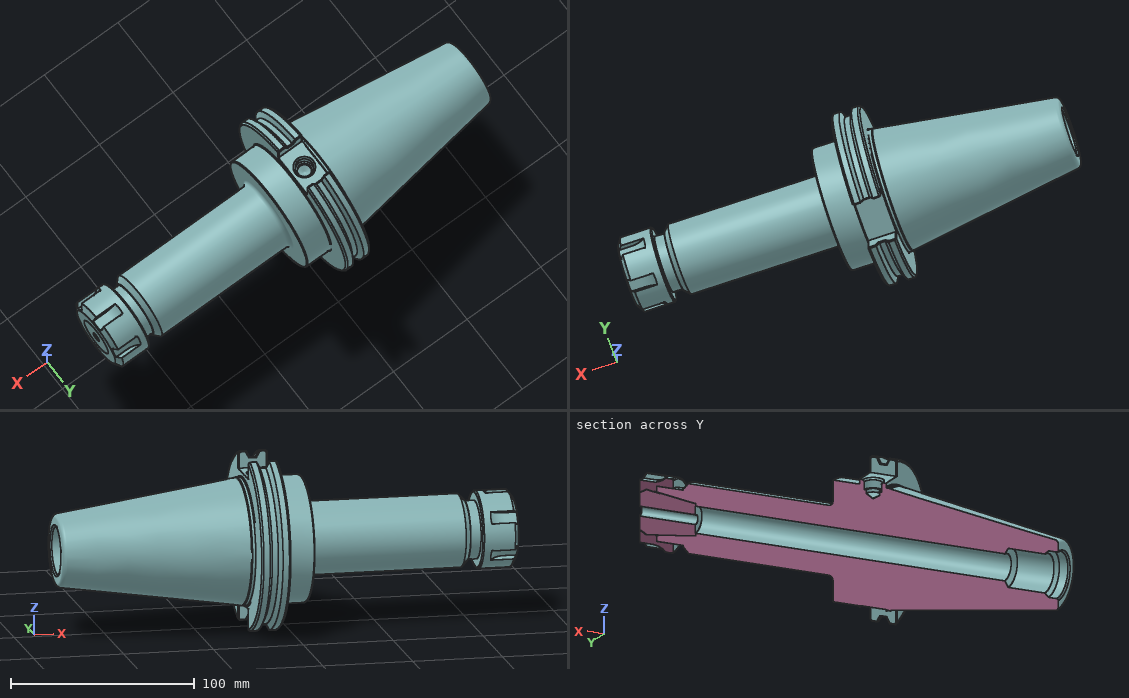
import cadquery as cq
import math


total_length = 254.0
taper_length = 101.5
flange_start = 104.5
flange_end = 120.6
collar_end = 137.0
shank_end = 227.5
nut_start = 233.5
nose_end = 243.8

gauge_radius = 69.8 / 2
taper_slope = 7 / 24 / 2
small_end_radius = gauge_radius - taper_length * taper_slope
small_end_round = 2.5
flange_radius = 98.3 / 2
flange_chamfer = 1.0
groove_radius = 45.7
groove_top_width = 7.0
groove_floor_width = 3.3
neck_radius = 70.4 / 2
neck_lead = 0.5
flange_root_fillet = 0.5
collar_radius = 35.0
collar_chamfer = 0.5
shank_radius = 40.5 / 2
shank_root_fillet = 2.5
shank_end_chamfer = 3.3
thread_radius = 16.0

drive_slot_width = 25.5
drive_slot_chamfer = 0.64
upper_slot_floor = 37.8
lower_slot_floor = 34.8
tapped_radius = 5.0
tapped_mouth_radius = 6.0
tapped_depth = 5.5
tap_drill_radius = 8.0 / 2
tap_drill_depth = 7.5
drill_tip_slope = math.tan(math.radians(31))

pilot_radius = 13.2
pilot_mouth_radius = 28.2 / 2
pilot_depth = 6.0
pull_stud_radius = 22.0 / 2
pull_stud_depth = 30.5
coolant_radius = 7.5

collet_back = 220.0
collet_back_radius = 18.0 / 2
collet_max_radius = 13.2
collet_front_radius = 11.0
collet_bore_radius = 5.3 / 2
collet_slope = math.tan(math.radians(8))
collet_shoulder = collet_back + (collet_max_radius - collet_back_radius) / collet_slope

nut_radius = 21.3
nut_back_chamfer = 0.8
nut_front_radius = 17.5
nut_front_chamfer_length = 2.5
spanner_slot_count = 6
spanner_slot_width = 6.9
spanner_slot_floor = 18.0
spanner_slot_flat_start = 246.0
spanner_slot_clearance = 0.5
cutter_radius = 11.0


def revolve_about_x(points):
    """Solid of revolution from a closed (x, radius) outline."""
    return cq.Workplane("XY").polyline(points).close().revolve(360, (0, 0, 0), (1, 0, 0))


def collet_cone_radius(x):
    """Radius of the collet's long cone, and of its seat, at position x."""
    return collet_back_radius + (x - collet_back) * collet_slope


def holder_blank():
    groove_middle = (flange_start + flange_end) / 2
    groove_top = groove_top_width / 2
    groove_floor = groove_floor_width / 2
    outline = (
        cq.Workplane("XY")
        .moveTo(0, 0)
        .lineTo(0, small_end_radius)
        .lineTo(taper_length, gauge_radius)
        .lineTo(taper_length + neck_lead, neck_radius)
        .lineTo(flange_start - flange_root_fillet, neck_radius)
        .radiusArc((flange_start, neck_radius + flange_root_fillet), -flange_root_fillet)
        .lineTo(flange_start, flange_radius - flange_chamfer)
        .lineTo(flange_start + flange_chamfer, flange_radius)
        .lineTo(groove_middle - groove_top, flange_radius)
        .lineTo(groove_middle - groove_floor, groove_radius)
        .lineTo(groove_middle + groove_floor, groove_radius)
        .lineTo(groove_middle + groove_top, flange_radius)
        .lineTo(flange_end - flange_chamfer, flange_radius)
        .lineTo(flange_end, flange_radius - flange_chamfer)
        .lineTo(flange_end, collar_radius + flange_root_fillet)
        .radiusArc((flange_end + flange_root_fillet, collar_radius), -flange_root_fillet)
        .lineTo(collar_end - collar_chamfer, collar_radius)
        .lineTo(collar_end, collar_radius - collar_chamfer)
        .lineTo(collar_end, shank_radius + shank_root_fillet)
        .radiusArc((collar_end + shank_root_fillet, shank_radius), -shank_root_fillet)
        .lineTo(shank_end - shank_end_chamfer, shank_radius)
        .lineTo(shank_end, shank_radius - shank_end_chamfer)
        .lineTo(shank_end, thread_radius)
        .lineTo(nose_end, thread_radius)
        .lineTo(nose_end, 0)
        .close()
    )
    blank = outline.revolve(360, (0, 0, 0), (1, 0, 0))
    return blank.faces("<X").edges().fillet(small_end_round)


def holder_bore():
    """Stepped bore from the pull stud thread to the collet seat."""
    pilot_chamfer = pilot_mouth_radius - pilot_radius
    pilot_cone_end = pilot_depth + pilot_radius - pull_stud_radius
    drill_tip_end = pull_stud_depth + (pull_stud_radius - coolant_radius) * drill_tip_slope
    return revolve_about_x([
        (0, 0),
        (0, pilot_mouth_radius),
        (pilot_chamfer, pilot_radius),
        (pilot_depth, pilot_radius),
        (pilot_cone_end, pull_stud_radius),
        (pull_stud_depth, pull_stud_radius),
        (drill_tip_end, coolant_radius),
        (collet_back, coolant_radius),
        (collet_back, collet_back_radius),
        (nose_end, collet_cone_radius(nose_end)),
        (nose_end, 0),
    ])


def drive_slot(floor, side):
    """Keyway across the flange; side is +1 for the top and -1 for the bottom."""
    height = flange_radius - floor
    middle = ((flange_start + flange_end) / 2, 0, side * (floor + height / 2))
    return cq.Workplane("XY").box(flange_end - flange_start, drive_slot_width, height).translate(middle)


def drive_slot_tapped_hole():
    """Countersunk blind tapped hole in the floor of the upper drive slot."""
    mouth_chamfer = tapped_mouth_radius - tapped_radius
    profile = [
        (0, 0),
        (tapped_mouth_radius, 0),
        (tapped_radius, -mouth_chamfer),
        (tapped_radius, -tapped_depth),
        (tap_drill_radius, -tapped_depth),
        (tap_drill_radius, -tap_drill_depth),
        (0, -tap_drill_depth - tap_drill_radius * drill_tip_slope),
    ]
    hole = cq.Workplane("XZ").polyline(profile).close().revolve(360, (0, 0, 0), (0, 1, 0))
    return hole.translate(((flange_start + flange_end) / 2, 0, upper_slot_floor))


def drive_slot_rims():
    """Selector for the rims of the drive slot side walls."""
    half = drive_slot_width / 2
    margin = 0.03
    rims = None
    for side in (-1, 1):
        for floor, top in ((upper_slot_floor, flange_radius), (-flange_radius, -lower_slot_floor)):
            rim = cq.selectors.BoxSelector(
                (flange_start - margin, side * half - margin, floor + margin),
                (flange_end + margin, side * half + margin, top - margin),
            )
            rims = rim if rims is None else rims + rim
    return rims


def make_holder():
    slotted = (
        holder_blank()
        .cut(drive_slot(upper_slot_floor, 1))
        .cut(drive_slot(lower_slot_floor, -1))
    )
    return (
        slotted.edges(drive_slot_rims())
        .chamfer(drive_slot_chamfer)
        .cut(holder_bore())
        .cut(drive_slot_tapped_hole())
    )


def make_collet():
    return revolve_about_x([
        (collet_back, collet_bore_radius),
        (collet_back, collet_back_radius),
        (collet_shoulder, collet_max_radius),
        (total_length, collet_front_radius),
        (total_length, collet_bore_radius),
    ])


def spanner_slot():
    """Cutter for one spanner slot, at the top of the nut."""
    slot_top = nut_radius + spanner_slot_clearance
    rise = slot_top - spanner_slot_floor
    runout = math.sqrt(cutter_radius**2 - (cutter_radius - rise) ** 2)
    return (
        cq.Workplane("XZ")
        .moveTo(total_length, slot_top)
        .lineTo(total_length, spanner_slot_floor)
        .lineTo(spanner_slot_flat_start, spanner_slot_floor)
        .radiusArc((spanner_slot_flat_start - runout, slot_top), cutter_radius)
        .close()
        .extrude(spanner_slot_width / 2, both=True)
    )


def make_nut():
    nut = revolve_about_x([
        (nut_start, thread_radius),
        (nut_start, nut_radius - nut_back_chamfer),
        (nut_start + nut_back_chamfer, nut_radius),
        (total_length - nut_front_chamfer_length, nut_radius),
        (total_length, nut_front_radius),
        (total_length, collet_front_radius),
        (collet_shoulder, collet_max_radius),
        (nose_end, collet_cone_radius(nose_end)),
        (nose_end, thread_radius),
    ])
    for i in range(spanner_slot_count):
        angle = i * 360 / spanner_slot_count
        nut = nut.cut(spanner_slot().rotate((0, 0, 0), (1, 0, 0), angle))
    return nut


holder = make_holder()
collet = make_collet()
nut = make_nut()

result = cq.Compound.makeCompound([holder.val(), collet.val(), nut.val()])